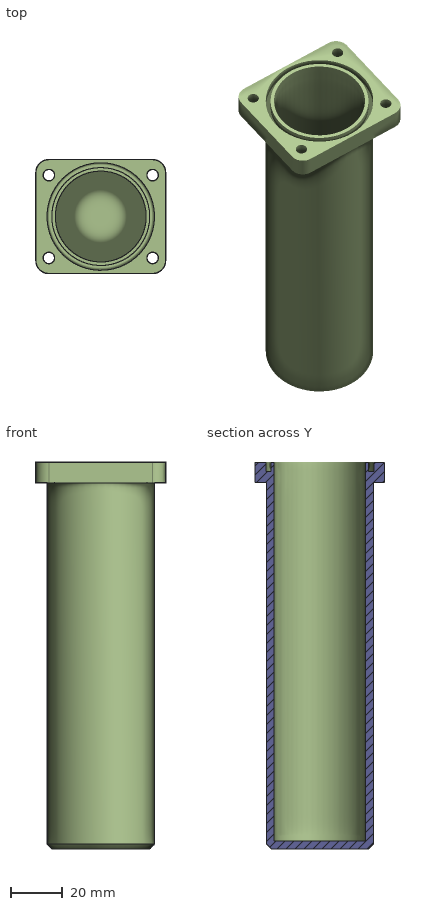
import cadquery as cq

total_height = 149.0
flange_length = 50.0
flange_width = 44.0
flange_thickness = 8.0
flange_corner_radius = 5.0

tube_diameter = 41.4
bore_diameter = 35.0
tube_wall = (tube_diameter - bore_diameter) / 2
floor_thickness = tube_wall
bottom_chamfer = 2.0

groove_outer_diameter = tube_diameter
groove_inner_diameter = 37.7
groove_depth = 3.6

hole_diameter = 4.3
hole_spacing_x = 40.0
hole_spacing_y = 31.9


def make_tube():
    """Solid round body standing on its chamfered end."""
    body = cq.Workplane("XY").circle(tube_diameter / 2).extrude(total_height)
    return body.faces("<Z").edges().chamfer(bottom_chamfer)


def make_flange():
    """Rounded rectangular plate with a through hole near each corner."""
    plate = (
        cq.Workplane("XY")
        .workplane(offset=total_height - flange_thickness)
        .rect(flange_length, flange_width)
        .extrude(flange_thickness)
        .edges("|Z")
        .fillet(flange_corner_radius)
    )
    return (
        plate.faces(">Z")
        .workplane()
        .rect(hole_spacing_x, hole_spacing_y, forConstruction=True)
        .vertices()
        .hole(hole_diameter)
    )


def make_bore():
    """Blind bore, open at the flange face."""
    return (
        cq.Workplane("XY")
        .workplane(offset=floor_thickness)
        .circle(bore_diameter / 2)
        .extrude(total_height - floor_thickness)
    )


def make_groove():
    """Ring-shaped groove around the mouth of the bore."""
    return (
        cq.Workplane("XY")
        .workplane(offset=total_height - groove_depth)
        .circle(groove_outer_diameter / 2)
        .circle(groove_inner_diameter / 2)
        .extrude(groove_depth)
    )


result = make_tube().union(make_flange()).cut(make_bore()).cut(make_groove())